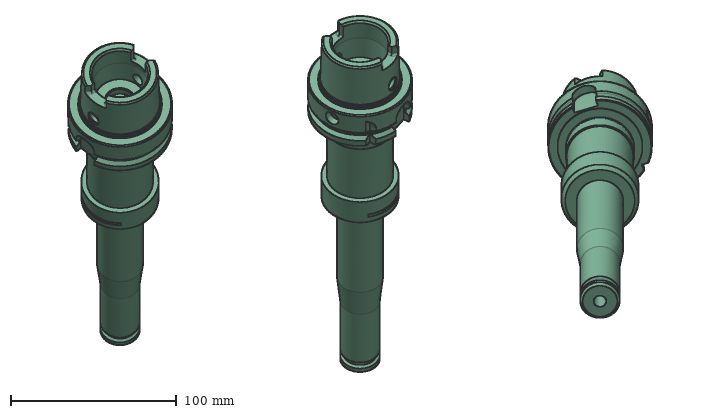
import cadquery as cq
import math

total_height = 267.5

taper_top_radius = 46.3 / 2
taper_base_radius = 24.0
rim_chamfer = 1.0
collar_radius = 24.5
collar_top = 237.5
collar_bottom = 236.5
undercut_radius = 24.0
relief_radius = 25.5
relief_depth = 0.5

flange_radius = 31.5
flange_top = 235.5
flange_bottom = 209.5
flange_edge = 0.8
vee_radius = 28.0
vee_floor_top = 218.5
vee_floor_bottom = 217.0
vee_bevel_radius = 28.5
vee_bevel_bottom = 216.1
vee_mouth_top = 220.5
vee_mouth_bottom = 214.3
lower_rim_radius = 62.9 / 2
lower_rim_edge = 0.5
hub_radius = 25.7
hub_bottom = 209.0

shank_radius = 20.0
band_radius = 41.5 / 2
band_top = 207.0
band_bottom = 197.0
band_edge = 0.5
nut_radius = 46.8 / 2
nut_top = 155.2
nut_bottom = 135.5
nut_chamfer = 2.5
stem_radius = 28.0 / 2
cone_top = 70.5
cone_bottom = 50.3
tip_radius = 12.0
ring_groove_radius = 20.0 / 2
ring_groove_top = 9.5
ring_groove_bottom = 5.5
ring_groove_bevel = 1.0
tip_chamfer = 1.5

bore_radius = 34.0 / 2
bore_mouth_radius = 18.2
bore_straight_depth = 13.5
bore_floor_radius = 15.5
bore_depth = 28.4
seat_mouth_radius = 9.0
seat_radius = 8.5
seat_depth = 5.4
through_radius = 3.7

slot_half_width = 6.2
slot_flare_half_width = 9.4
slot_flare_start = 18.7
slot_floor_fillet = 1.3
front_slot_depth = 6.5
back_slot_depth = 10.0

cross_hole_diameter = 7.5
cross_hole_mouth = 9.0
cross_hole_z = 244.2

keyway_width = 15.0
keyway_arc_z = 223.4
keyway_floor = 26.5
notch_center_x = -27.5
notch_floor = 19.8
pocket_diameter = 9.0
pocket_z = 228.5
pocket_floor = 26.5

mark_top = 144.2
mark_bottom = 142.0
mark_depth = 0.13
mark_angle = 90.0
mark_center_angle = -90.0


def revolve_profile(points):
    """Solid of revolution about Z from (radius, z) points."""
    return cq.Workplane("XZ").polyline(points).close().revolve(360, (0, 0, 0), (0, 1, 0))


def make_body():
    """Outer turned shape, from the tip at Z = 0 up to the rim of the taper."""
    return revolve_profile([
        (0, 0),
        (tip_radius - tip_chamfer, 0),
        (tip_radius, tip_chamfer),
        (tip_radius, ring_groove_bottom - ring_groove_bevel),
        (ring_groove_radius, ring_groove_bottom),
        (ring_groove_radius, ring_groove_top - ring_groove_bevel),
        (tip_radius, ring_groove_top),
        (tip_radius, cone_bottom),
        (stem_radius, cone_top),
        (stem_radius, nut_bottom),
        (nut_radius - nut_chamfer, nut_bottom),
        (nut_radius, nut_bottom + nut_chamfer),
        (nut_radius, nut_top),
        (shank_radius, nut_top),
        (shank_radius, band_bottom - band_edge),
        (band_radius, band_bottom),
        (band_radius, band_top),
        (shank_radius, band_top),
        (shank_radius, hub_bottom),
        (hub_radius, hub_bottom),
        (hub_radius, flange_bottom),
        (lower_rim_radius - lower_rim_edge, flange_bottom),
        (lower_rim_radius, flange_bottom + lower_rim_edge),
        (lower_rim_radius, vee_mouth_bottom),
        (vee_bevel_radius, vee_bevel_bottom),
        (vee_radius, vee_floor_bottom),
        (vee_radius, vee_floor_top),
        (flange_radius - flange_edge, vee_mouth_top),
        (flange_radius, vee_mouth_top + flange_edge),
        (flange_radius, flange_top - flange_edge),
        (flange_radius - flange_edge, flange_top),
        (relief_radius, flange_top),
        (relief_radius, flange_top - relief_depth),
        (undercut_radius, flange_top - relief_depth),
        (undercut_radius, collar_bottom),
        (collar_radius, collar_bottom),
        (collar_radius, collar_top),
        (taper_base_radius, collar_top),
        (taper_top_radius, total_height - rim_chamfer),
        (taper_top_radius - rim_chamfer, total_height),
        (0, total_height),
    ])


def make_bore():
    """Stepped bore: narrow through hole, seat, tapering wall and chamfered mouth."""
    bore_chamfer = bore_mouth_radius - bore_radius
    seat_chamfer = seat_mouth_radius - seat_radius
    bore_floor = total_height - bore_depth
    seat_floor = bore_floor - seat_depth
    return revolve_profile([
        (0, 0),
        (through_radius, 0),
        (through_radius, seat_floor),
        (seat_radius, seat_floor),
        (seat_radius, bore_floor - seat_chamfer),
        (seat_mouth_radius, bore_floor),
        (bore_floor_radius, bore_floor),
        (bore_radius, total_height - bore_straight_depth),
        (bore_radius, total_height - bore_chamfer),
        (bore_mouth_radius, total_height),
        (0, total_height),
    ])


def make_drive_slot(side, depth):
    """Slot in the rim on the side of +Y (side = 1) or -Y (side = -1), flaring at the outer surface."""
    flare_end = slot_flare_start + slot_flare_half_width - slot_half_width
    outline = [
        (-slot_half_width, 0),
        (-slot_half_width, side * slot_flare_start),
        (-slot_flare_half_width, side * flare_end),
        (-slot_flare_half_width, side * flange_radius),
        (slot_flare_half_width, side * flange_radius),
        (slot_flare_half_width, side * flare_end),
        (slot_half_width, side * slot_flare_start),
        (slot_half_width, 0),
    ]
    floor = cq.Workplane("XY").workplane(offset=total_height - depth)
    slot = floor.polyline(outline).close().extrude(depth)
    return slot.faces("<Z").edges("not #Y").fillet(slot_floor_fillet)


def make_cross_hole():
    """Hole along Y through both taper walls, countersunk at each outer surface."""
    hole_radius = cross_hole_diameter / 2
    mouth_radius = cross_hole_mouth / 2
    sink_depth = mouth_radius - hole_radius
    sink_start = math.sqrt(taper_base_radius**2 - mouth_radius**2) - sink_depth
    profile = [
        (0, -flange_radius),
        (mouth_radius, -flange_radius),
        (mouth_radius, -sink_start - sink_depth),
        (hole_radius, -sink_start),
        (hole_radius, sink_start),
        (mouth_radius, sink_start + sink_depth),
        (mouth_radius, flange_radius),
        (0, flange_radius),
    ]
    hole = cq.Workplane("XY").polyline(profile).close().revolve(360, (0, 0, 0), (0, 1, 0))
    return hole.translate((0, 0, cross_hole_z))


def make_keyway(center_x, floor, side):
    """Round-topped cut on the +Y or -Y side, open at the flange underside and the outer surface."""
    half_width = keyway_width / 2
    outline = (
        cq.Workplane("XZ", origin=(center_x, side * floor, 0))
        .moveTo(-half_width, hub_bottom)
        .lineTo(-half_width, keyway_arc_z)
        .threePointArc((0, keyway_arc_z + half_width), (half_width, keyway_arc_z))
        .lineTo(half_width, hub_bottom)
        .close()
    )
    return outline.extrude(-side * flange_radius)


def make_pocket():
    """Blind round pocket in the -X side of the flange."""
    start = cq.Workplane("YZ", origin=(-flange_radius, 0, pocket_z))
    return start.circle(pocket_diameter / 2).extrude(flange_radius - pocket_floor)


def make_marking():
    """Thin recess in the nut surface, centred on -Y."""
    start_angle = mark_center_angle - mark_angle / 2
    profile = (
        cq.Workplane("XZ")
        .moveTo(nut_radius - mark_depth, mark_bottom)
        .lineTo(nut_radius + mark_depth, mark_bottom)
        .lineTo(nut_radius + mark_depth, mark_top)
        .lineTo(nut_radius - mark_depth, mark_top)
        .close()
        .revolve(mark_angle, (0, 0, 0), (0, 1, 0))
    )
    return profile.rotate((0, 0, 0), (0, 0, 1), start_angle)


result = make_body().cut(make_bore())
result = result.cut(make_drive_slot(-1, front_slot_depth))
result = result.cut(make_drive_slot(1, back_slot_depth))
result = result.cut(make_cross_hole())
for side in (-1, 1):
    result = result.cut(make_keyway(0, keyway_floor, side))
result = result.cut(make_keyway(notch_center_x, notch_floor, -1))
result = result.cut(make_pocket())
result = result.cut(make_marking())